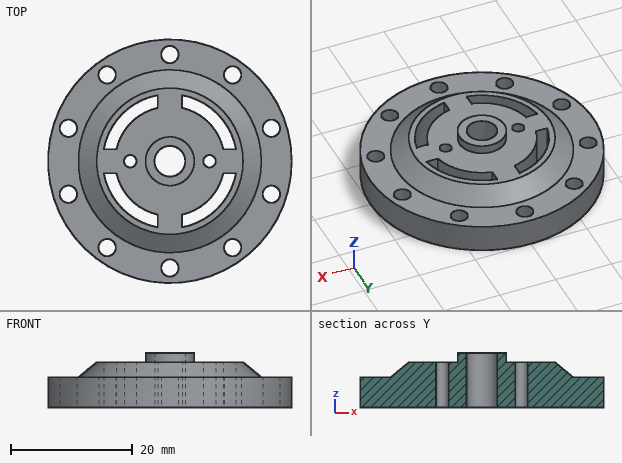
import cadquery as cq

flange_top = 5.0
cone_top = 7.5
hub_top = 9.0

flange_diameter = 40.0
cone_base_diameter = 30.0
cone_top_diameter = 24.0
hub_diameter = 8.0
bore_diameter = 5.0

bolt_hole_count = 10
bolt_hole_diameter = 2.8
bolt_circle_diameter = 35.0
first_bolt_angle = 90.0

pin_hole_diameter = 2.0
pin_hole_spacing = 13.0

slot_outer_diameter = 22.0
slot_inner_diameter = 18.0
spoke_width = 4.0


def make_body():
    """Revolve the stepped flange, cone and hub about Z."""
    profile = [
        (0, 0),
        (flange_diameter / 2, 0),
        (flange_diameter / 2, flange_top),
        (cone_base_diameter / 2, flange_top),
        (cone_top_diameter / 2, cone_top),
        (hub_diameter / 2, cone_top),
        (hub_diameter / 2, hub_top),
        (0, hub_top),
    ]
    return cq.Workplane("XZ").polyline(profile).close().revolve(360, (0, 0), (0, 1))


def make_holes():
    """Through cylinders for the bore, the pin holes and the bolt holes."""
    base = cq.Workplane("XY")
    bore = base.circle(bore_diameter / 2).extrude(hub_top)
    pins = (
        base.pushPoints([(-pin_hole_spacing / 2, 0), (pin_hole_spacing / 2, 0)])
        .circle(pin_hole_diameter / 2)
        .extrude(hub_top)
    )
    bolts = (
        base.polarArray(bolt_circle_diameter / 2, first_bolt_angle, 360, bolt_hole_count)
        .circle(bolt_hole_diameter / 2)
        .extrude(hub_top)
    )
    return bore.union(pins).union(bolts)


def make_slots():
    """Through ring with the two crossing spokes left out."""
    base = cq.Workplane("XY")
    slots = (
        base.circle(slot_outer_diameter / 2)
        .circle(slot_inner_diameter / 2)
        .extrude(hub_top)
    )
    for length_x, length_y in [(flange_diameter, spoke_width), (spoke_width, flange_diameter)]:
        slots = slots.cut(base.rect(length_x, length_y).extrude(hub_top))
    return slots


result = make_body().cut(make_holes()).cut(make_slots())